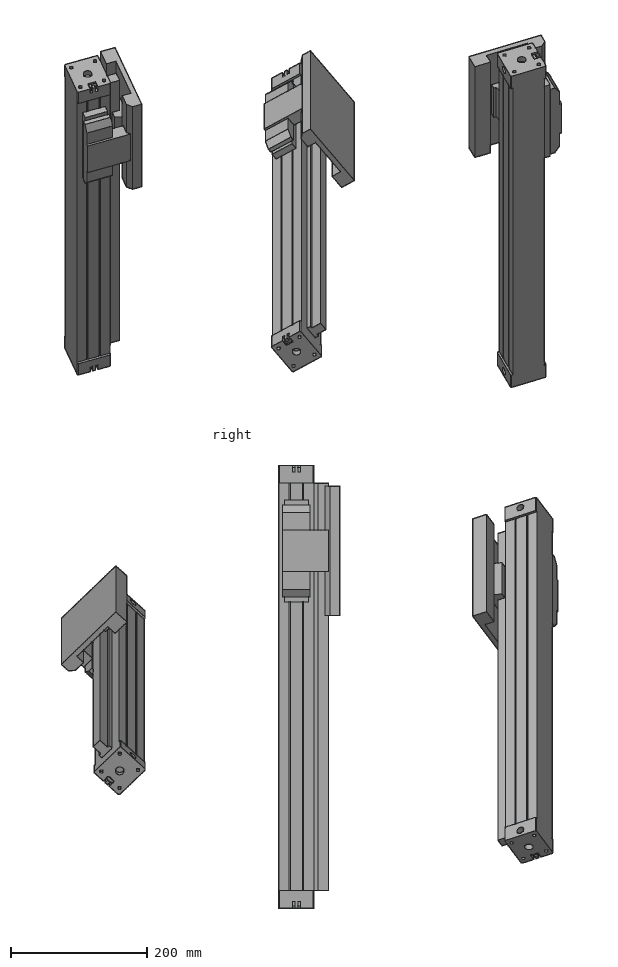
import cadquery as cq


TOTAL_LENGTH = 650.0
CAP_HEIGHT = 26.0
CAP_WIDTH = 56.5
CAP_DEPTH = 52.0
CAP_EDGE_CHAMFER = 1.0
PROFILE_WIDTH = 50.0
PROFILE_LENGTH = TOTAL_LENGTH - 2 * CAP_HEIGHT
FACE_Y = CAP_DEPTH / 2

GROOVE_WIDTH = 2.0
GROOVE_DEPTH = 3.0
GROOVE_OFFSET = 10.0

RAIL_FOOT_WIDTH = 21.5
RAIL_FOOT_TOP = 32.0
RAIL_HEAD_WIDTH = 14.0
RAIL_HEAD_TOP = 47.5

END_HOLE_DIAMETER = 12.5
END_HOLE_DEPTH = 10.0
SIDE_PORT_DIAMETER = 11.0
SIDE_PORT_DEPTH = 10.0
SIDE_PORT_INSET = 10.5
SCREW_DIAMETER = 4.95
SCREW_DEPTH = 6.5
SCREW_PITCH_X = 39.0
SCREW_PITCH_Y = 37.0
RECESS_LENGTH = 10.5
RECESS_WIDTH = 12.0
RECESS_DEPTH = 3.0
SLOT_LENGTH = 5.0
SLOT_DEPTH = 10.0
SLOT_RIB_WIDTH = 4.5

CARRIAGE_CENTER_Z = 199.5
TABLE_LENGTH = 190.0
TABLE_WIDTH = 115.0
TABLE_TOP = 64.0
TABLE_THICKNESS = 8.0
LEG_INNER_X = 32.5
LEFT_LEG_HEIGHT = 23.0
RIGHT_LEG_HEIGHT = 21.5
RIGHT_LEG_CHAMFER = 7.0

RUNNER_LENGTH = 61.0
RUNNER_TOP_WIDTH = 49.0
RUNNER_BOTTOM_WIDTH = 34.0
RUNNER_NECK_WIDTH = 41.5
RUNNER_SHOULDER_Y = 48.0
RUNNER_BOTTOM_Y = 36.0

ARM_INNER_X = 36.5
ARM_OUTER_X = 55.0
DRIVER_INNER_X = 38.0
DRIVER_OUTER_X = 52.0
DRIVER_CREST_X = 44.0
DRIVER_LENGTH = 135.0
DRIVER_FLAT_LENGTH = 113.0
DRIVER_DEPTH = 40.0
PAD_INNER_X = 27.0
PAD_LENGTH = 149.5
PAD_DEPTH = 35.0


def box_between(x_min, x_max, y_min, y_max, z_min, z_max):
    size = (x_max - x_min, y_max - y_min, z_max - z_min)
    return cq.Workplane("XY").box(*size, centered=False).translate((x_min, y_min, z_min))


def centered_extrusion(outline, length):
    """Extrude an XY outline along Z, half of the length to each side of Z = 0."""
    return cq.Workplane("XY").polyline(outline).close().extrude(length / 2, both=True)


def make_profile():
    profile = cq.Workplane("XY").box(PROFILE_WIDTH, CAP_DEPTH, PROFILE_LENGTH)
    grooves = (
        cq.Workplane("XY")
        .rarray(PROFILE_WIDTH, 2 * GROOVE_OFFSET, 2, 2)
        .rect(2 * GROOVE_DEPTH, GROOVE_WIDTH)
        .extrude(PROFILE_LENGTH / 2, both=True)
    )
    return profile.cut(grooves)


def make_rail():
    foot, head = RAIL_FOOT_WIDTH / 2, RAIL_HEAD_WIDTH / 2
    outline = [
        (-foot, FACE_Y), (foot, FACE_Y), (foot, RAIL_FOOT_TOP), (head, RAIL_FOOT_TOP),
        (head, RAIL_HEAD_TOP), (-head, RAIL_HEAD_TOP), (-head, RAIL_FOOT_TOP), (-foot, RAIL_FOOT_TOP),
    ]
    return centered_extrusion(outline, PROFILE_LENGTH)


def make_cap_pocket(top):
    """Shallow recess open to +X whose outer part is two deeper slots with a rib between them."""
    edge = CAP_WIDTH / 2
    recess_start = edge - RECESS_LENGTH
    slot_start = edge - SLOT_LENGTH
    half_width, half_rib = RECESS_WIDTH / 2, SLOT_RIB_WIDTH / 2
    recess = box_between(recess_start, slot_start, -half_width, half_width, top - RECESS_DEPTH, top)
    slots = box_between(slot_start, edge, -half_width, half_width, top - SLOT_DEPTH, top)
    rib = box_between(slot_start, edge, -half_rib, half_rib, top - SLOT_DEPTH, top)
    return recess.union(slots.cut(rib))


def make_top_cap():
    top = TOTAL_LENGTH / 2
    cap = (
        cq.Workplane("XY", origin=(0, 0, top - CAP_HEIGHT))
        .rect(CAP_WIDTH, CAP_DEPTH)
        .extrude(CAP_HEIGHT)
        .edges("|Z")
        .chamfer(CAP_EDGE_CHAMFER)
    )
    end_face = cq.Workplane("XY", origin=(0, 0, top))
    end_hole = end_face.circle(END_HOLE_DIAMETER / 2).extrude(-END_HOLE_DEPTH)
    screw_holes = (
        end_face.rarray(SCREW_PITCH_X, SCREW_PITCH_Y, 2, 2)
        .circle(SCREW_DIAMETER / 2)
        .extrude(-SCREW_DEPTH)
    )
    side_port = (
        cq.Workplane("YZ", origin=(-CAP_WIDTH / 2, 0, top - SIDE_PORT_INSET))
        .circle(SIDE_PORT_DIAMETER / 2)
        .extrude(SIDE_PORT_DEPTH)
    )
    return cap.cut(end_hole).cut(screw_holes).cut(side_port).cut(make_cap_pocket(top))


def make_beam():
    top_cap = make_top_cap()
    bottom_cap = top_cap.mirror("XY")
    return make_profile().union(make_rail()).union(top_cap).union(bottom_cap)


def make_table():
    half = TABLE_WIDTH / 2
    underside = TABLE_TOP - TABLE_THICKNESS
    left_foot = TABLE_TOP - LEFT_LEG_HEIGHT
    right_foot = TABLE_TOP - RIGHT_LEG_HEIGHT
    outline = [
        (-half, TABLE_TOP), (-half, left_foot), (-LEG_INNER_X, left_foot), (-LEG_INNER_X, underside),
        (LEG_INNER_X, underside), (LEG_INNER_X, right_foot), (half - RIGHT_LEG_CHAMFER, right_foot),
        (half, right_foot + RIGHT_LEG_CHAMFER), (half, TABLE_TOP),
    ]
    return centered_extrusion(outline, TABLE_LENGTH)


def make_runner():
    top, neck = RUNNER_TOP_WIDTH / 2, RUNNER_NECK_WIDTH / 2
    bottom, slot = RUNNER_BOTTOM_WIDTH / 2, RAIL_HEAD_WIDTH / 2
    underside = TABLE_TOP - TABLE_THICKNESS
    outline = [
        (-top, underside), (-top, RUNNER_SHOULDER_Y), (-neck, RUNNER_SHOULDER_Y), (-bottom, RUNNER_BOTTOM_Y),
        (-slot, RUNNER_BOTTOM_Y), (-slot, RAIL_HEAD_TOP), (slot, RAIL_HEAD_TOP), (slot, RUNNER_BOTTOM_Y),
        (bottom, RUNNER_BOTTOM_Y), (neck, RUNNER_SHOULDER_Y), (top, RUNNER_SHOULDER_Y), (top, underside),
    ]
    return centered_extrusion(outline, RUNNER_LENGTH)


def make_driver():
    """Block centred on Y = 0 whose two outer ends slope in toward its crest."""
    end, flat = DRIVER_LENGTH / 2, DRIVER_FLAT_LENGTH / 2
    outline = [
        (DRIVER_INNER_X, -end), (DRIVER_CREST_X, -end), (DRIVER_OUTER_X, -flat),
        (DRIVER_OUTER_X, flat), (DRIVER_CREST_X, end), (DRIVER_INNER_X, end),
    ]
    return cq.Workplane("XZ").polyline(outline).close().extrude(DRIVER_DEPTH / 2, both=True)


def make_carriage():
    half_runner = RUNNER_LENGTH / 2
    driver_top = DRIVER_DEPTH / 2
    arm_top = TABLE_TOP - RIGHT_LEG_HEIGHT + RIGHT_LEG_CHAMFER
    arm = box_between(ARM_INNER_X, ARM_OUTER_X, driver_top, arm_top, -half_runner, half_runner)
    arm_plate = box_between(
        DRIVER_INNER_X, ARM_OUTER_X, -driver_top, driver_top, -half_runner, half_runner
    )
    pad = box_between(
        PAD_INNER_X, DRIVER_INNER_X, -PAD_DEPTH / 2, PAD_DEPTH / 2, -PAD_LENGTH / 2, PAD_LENGTH / 2
    )
    carriage = make_table().union(make_runner()).union(arm).union(arm_plate).union(make_driver()).union(pad)
    return carriage.translate((0, 0, CARRIAGE_CENTER_Z))


beam = make_beam()
carriage = make_carriage()
result = cq.Compound.makeCompound([beam.val(), carriage.val()])